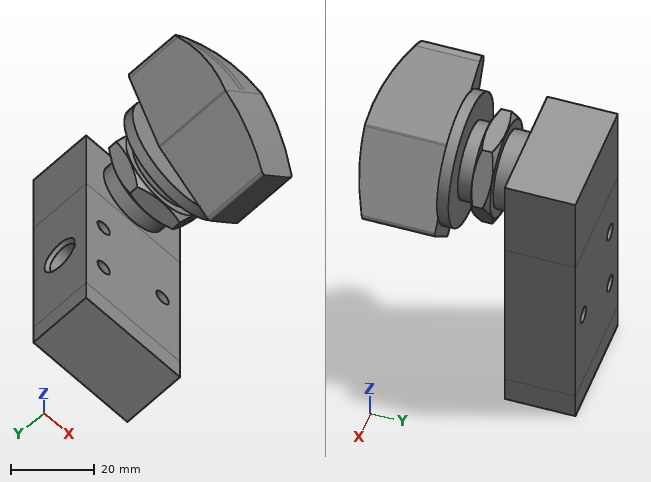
import cadquery as cq
import math

BLOCK_WIDTH = 32.0
BLOCK_DEPTH = 18.0
BLOCK_HEIGHT = 74.0
BOTTOM_CAP_HEIGHT = 7.1
TOP_CAP_BASE = 52.2

MOUNT_HOLE_DIA = 4.2
MOUNT_HOLE_X = 10.0
MOUNT_HOLE_SPACING = 18.0
PORT_Z = 29.55
PORT_DIA = 8.55
PORT_MOUTH_DIA = 10.4
PORT_DEPTH = 10.0
PORT_CHAMFER = (PORT_MOUTH_DIA - PORT_DIA) / 2

OPERATOR_Z = 63.0
SPIGOT_DIA = 20.0
NUT_START = 5.0
NUT_THICKNESS = 5.0
NUT_ACROSS_FLATS = 25.0
NUT_FACE_DIA = 24.7
NUT_BEVEL_ANGLE = 30
FLANGE_DIA = 34.0
FLANGE_START = 14.0
FLANGE_THICKNESS = 2.9

KNOB_START = FLANGE_START + FLANGE_THICKNESS
KNOB_HEIGHT = 22.6
KNOB_ANGLE = 135
TIP_RADIUS = 2.0
TIP_CENTER = 23.1
SHOULDER_X = 2.6
SHOULDER_HALF_WIDTH = 8.8
SHOULDER_ROUND = 1.0
TAIL_X = -19.7
TAIL_HALF_WIDTH = 7.1
TAIL_ROUND = 1.0
TAIL_DROP = 4.2
TIP_DROP = 7.1

MARK_START = 3.6
MARK_END = 21.3
MARK_WIDTH = 1.95
MARK_DEPTH = 0.8


def forward_plane(distance):
    """Plane on the operator axis, facing forward, at a distance from the block."""
    return cq.Plane(origin=(0, -distance, OPERATOR_Z), xDir=(1, 0, 0), normal=(0, -1, 0))


def forward_cylinder(start, length, diameter):
    return cq.Workplane(forward_plane(start)).circle(diameter / 2).extrude(length)


def block_section(base, top):
    return (
        cq.Workplane("XY", origin=(0, BLOCK_DEPTH / 2, base))
        .rect(BLOCK_WIDTH, BLOCK_DEPTH)
        .extrude(top - base)
    )


def make_block():
    """Three fused sections; the seams between them stay as edges."""
    block = block_section(BOTTOM_CAP_HEIGHT, TOP_CAP_BASE)
    hole_points = [
        (-MOUNT_HOLE_X, PORT_Z - MOUNT_HOLE_SPACING / 2),
        (-MOUNT_HOLE_X, PORT_Z + MOUNT_HOLE_SPACING / 2),
        (MOUNT_HOLE_X, PORT_Z),
    ]
    holes = (
        cq.Workplane("XZ")
        .pushPoints(hole_points)
        .circle(MOUNT_HOLE_DIA / 2)
        .extrude(-BLOCK_DEPTH)
    )
    block = block.cut(holes).cut(make_port())
    block = block.union(block_section(0, BOTTOM_CAP_HEIGHT), clean=False)
    return block.union(block_section(TOP_CAP_BASE, BLOCK_HEIGHT), clean=False)


def make_port():
    """Blind port in the -X side with a 45 degree mouth, as a cutting tool."""
    left_face = -BLOCK_WIDTH / 2
    profile = [
        (left_face, 0),
        (left_face, PORT_MOUTH_DIA / 2),
        (left_face + PORT_CHAMFER, PORT_DIA / 2),
        (left_face + PORT_DEPTH, PORT_DIA / 2),
        (left_face + PORT_DEPTH, 0),
    ]
    return (
        cq.Workplane("XY", origin=(0, BLOCK_DEPTH / 2, PORT_Z))
        .polyline(profile)
        .close()
        .revolve(360, (0, 0, 0), (1, 0, 0))
    )


def make_nut():
    """Hexagon with its corners bevelled on both faces."""
    corner_radius = NUT_ACROSS_FLATS / math.sqrt(3)
    face_radius = NUT_FACE_DIA / 2
    bevel = (corner_radius - face_radius) * math.tan(math.radians(NUT_BEVEL_ANGLE))
    hexagon = (
        cq.Workplane(forward_plane(NUT_START))
        .polygon(6, 2 * corner_radius)
        .extrude(NUT_THICKNESS)
    )
    bevel_profile = [
        (0, 0),
        (face_radius, 0),
        (corner_radius, bevel),
        (corner_radius, NUT_THICKNESS - bevel),
        (face_radius, NUT_THICKNESS),
        (0, NUT_THICKNESS),
    ]
    envelope = (
        cq.Workplane("XY", origin=(0, -NUT_START, OPERATOR_Z))
        .polyline([(radius, -distance) for radius, distance in bevel_profile])
        .close()
        .revolve(360, (0, 0, 0), (0, 1, 0))
    )
    return hexagon.intersect(envelope)


def make_housing():
    spigot = forward_cylinder(0, FLANGE_START, SPIGOT_DIA)
    flange = forward_cylinder(FLANGE_START, FLANGE_THICKNESS, FLANGE_DIA)
    housing = make_block()
    for feature in (spigot, make_nut(), flange):
        housing = housing.union(feature, clean=False)
    return housing


def knob_outline():
    """Tapered tail and a pointer whose sides run tangent into the round tip."""
    reach = TIP_CENTER - SHOULDER_X
    to_tip_center = math.atan2(SHOULDER_HALF_WIDTH, reach)
    taper = to_tip_center - math.asin(TIP_RADIUS / math.hypot(reach, SHOULDER_HALF_WIDTH))
    tangent_x = TIP_CENTER + TIP_RADIUS * math.sin(taper)
    tangent_y = TIP_RADIUS * math.cos(taper)
    return (
        cq.Workplane("XY")
        .moveTo(TAIL_X, -TAIL_HALF_WIDTH)
        .lineTo(SHOULDER_X, -SHOULDER_HALF_WIDTH)
        .lineTo(tangent_x, -tangent_y)
        .threePointArc((TIP_CENTER + TIP_RADIUS, 0), (tangent_x, tangent_y))
        .lineTo(SHOULDER_X, SHOULDER_HALF_WIDTH)
        .lineTo(TAIL_X, TAIL_HALF_WIDTH)
        .close()
    )


def crown_point(length, drop, fraction):
    """Point on an arc that leaves the shoulder level and falls by drop over length."""
    radius = (length**2 + drop**2) / (2 * drop)
    angle = fraction * math.asin(abs(length) / radius)
    x = SHOULDER_X + math.copysign(radius * math.sin(angle), length)
    return (x, KNOB_HEIGHT - radius * (1 - math.cos(angle)))


def crown_prism():
    """Side profile of the knob: two arcs meeting level at the shoulder."""
    tail_length = TAIL_X - SHOULDER_X
    tip_length = TIP_CENTER + TIP_RADIUS - SHOULDER_X
    return (
        cq.Workplane("XZ")
        .moveTo(TAIL_X, 0)
        .lineTo(*crown_point(tail_length, TAIL_DROP, 1))
        .threePointArc(crown_point(tail_length, TAIL_DROP, 0.5), (SHOULDER_X, KNOB_HEIGHT))
        .threePointArc(
            crown_point(tip_length, TIP_DROP, 0.5),
            crown_point(tip_length, TIP_DROP, 1),
        )
        .lineTo(TIP_CENTER + TIP_RADIUS, 0)
        .close()
        .extrude(SHOULDER_HALF_WIDTH, both=True)
    )


def outline_marker(knob, crown):
    """Split a flush strip out of the crown and fuse it back, leaving its edges."""
    strip = (
        cq.Workplane("XY")
        .center((MARK_START + MARK_END) / 2, 0)
        .rect(MARK_END - MARK_START, MARK_WIDTH)
        .extrude(KNOB_HEIGHT)
        .intersect(crown)
        .cut(crown.translate((0, 0, -MARK_DEPTH)))
    )
    return knob.cut(strip).union(strip, clean=False)


def make_knob():
    crown = crown_prism()
    blank = knob_outline().extrude(KNOB_HEIGHT)
    blank = blank.edges("|Z and <X").fillet(TAIL_ROUND)
    for side in (-1, 1):
        shoulder = (SHOULDER_X, side * SHOULDER_HALF_WIDTH, KNOB_HEIGHT / 2)
        blank = blank.edges(cq.NearestToPointSelector(shoulder)).fillet(SHOULDER_ROUND)
    knob = outline_marker(blank.intersect(crown), crown)
    knob = knob.rotate((0, 0, 0), (0, 0, 1), KNOB_ANGLE)
    return cq.Workplane(knob.val().moved(forward_plane(KNOB_START).location))


housing = make_housing()
knob = make_knob()
result = cq.Compound.makeCompound([*housing.solids().vals(), *knob.solids().vals()])